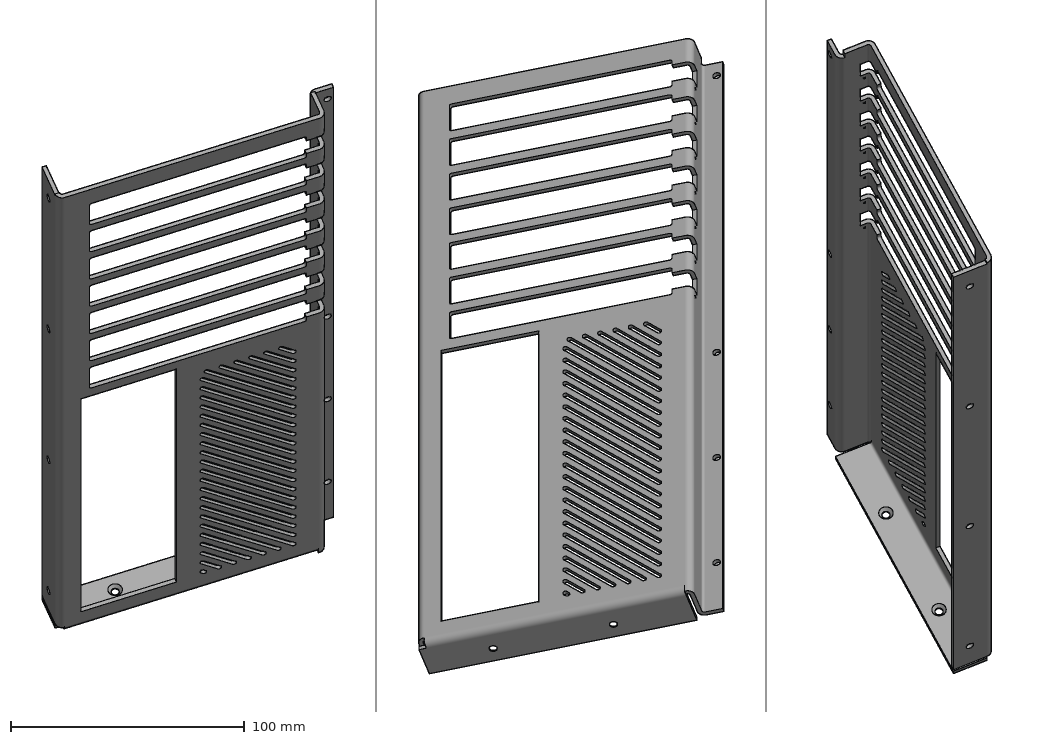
import cadquery as cq
import math

width_x = 19.05
depth_y = 132.08
height_z = 323.85

sheet = 2.0
bend_inner = 1.2
bend_outer = bend_inner + sheet

front_flange_top_gap = 1.0
wall_outer_y = 123.1
wall_inner_y = wall_outer_y - sheet
lip_x = 2.0
lip_top_gap = 3.1
bottom_flange_end_y = 119.4
sheet_inner_x = width_x - sheet

slot_count = 7
slot_pitch = 20.32
first_slot_z = 305.35
slot_height = 15.6
slot_near_y = 14.6
slot_far_y = 113.9
slot_corner_radius = 1.0
mouth_height = 9.5
mouth_depth_x = 6.5
pin_hole_diameter = 1.0
pin_hole_x = 14.6
pin_hole_drop = 7.7

window_near_y = 10.7
window_far_y = 54.4
window_bottom_z = 11.1
window_top_z = 169.8

vent_near_y = 65.2
vent_far_y = 109.2
vent_bottom_z = 11.0
vent_top_z = 162.4
vent_width = 2.0
vent_pitch = 6.83
vent_angle = 135
vents_below_corner = 6
vents_above_corner = 21

front_hole_diameter = 3.45
front_hole_x = 7.8
front_hole_first_z = 17.2
front_hole_pitch = 97.6
front_hole_count = 4
lip_hole_diameter = 3.3
lip_hole_y = 129.4
lip_hole_first_z = 27.7
lip_hole_pitch = 61.65
lip_hole_count = 3
lip_hole_top_z = 313.3
bottom_hole_diameter = 3.45
countersink_diameter = 6.2
countersink_angle = 90
bottom_hole_x = 7.5
bottom_hole_y_positions = (30.7, 84.4)

clearance = 1.0


def box(x_range, y_range, z_range):
    """Box spanning the given (low, high) pairs."""
    sizes = [high - low for low, high in (x_range, y_range, z_range)]
    corner = (x_range[0], y_range[0], z_range[0])
    return cq.Workplane("XY").box(*sizes, centered=False).translate(corner)


def round_edge(body, point, radius):
    """Fillet the edge whose midpoint is closest to the given point."""
    return body.edges(cq.selectors.NearestToPointSelector(point)).fillet(radius)


def make_upright_profile():
    """Full-height strip: front flange, main sheet, rear wall and outward lip."""
    body = (
        cq.Workplane("XY")
        .polyline([
            (0, 0),
            (width_x, 0),
            (width_x, wall_outer_y),
            (lip_x + sheet, wall_outer_y),
            (lip_x + sheet, depth_y),
            (lip_x, depth_y),
            (lip_x, wall_inner_y),
            (sheet_inner_x, wall_inner_y),
            (sheet_inner_x, sheet),
            (0, sheet),
        ])
        .close()
        .extrude(height_z)
    )
    bends = [
        (width_x, 0, bend_outer),
        (sheet_inner_x, sheet, bend_inner),
        (width_x, wall_outer_y, bend_outer),
        (sheet_inner_x, wall_inner_y, bend_inner),
        (lip_x, wall_inner_y, bend_outer),
        (lip_x + sheet, wall_outer_y, bend_inner),
    ]
    for x, y, radius in bends:
        body = round_edge(body, (x, y, height_z / 2), radius)
    return body


def trim_upright_ends(body):
    """Lower the flange and lip tops and clear the foot for the bottom flange."""
    flange_top = box(
        (-clearance, width_x - bend_outer),
        (-clearance, bend_outer),
        (height_z - front_flange_top_gap, height_z + clearance),
    )
    lip_top = box(
        (0, lip_x + bend_outer),
        (wall_inner_y - clearance, depth_y + clearance),
        (height_z - lip_top_gap, height_z + clearance),
    )
    foot = box(
        (-clearance, width_x + clearance),
        (-clearance, bottom_flange_end_y),
        (-clearance, bend_outer),
    )
    return body.cut(flange_top).cut(lip_top).cut(foot)


def make_bottom_flange():
    """Bottom flange and its bend, relieved where it meets the front bend."""
    bend_start_x = width_x - bend_outer
    body = (
        cq.Workplane("XZ")
        .lineTo(bend_start_x, 0)
        .radiusArc((width_x, bend_outer), -bend_outer)
        .lineTo(sheet_inner_x, bend_outer)
        .radiusArc((bend_start_x, sheet), bend_inner)
        .lineTo(0, sheet)
        .close()
        .extrude(-bottom_flange_end_y)
    )
    corner_relief = box(
        (bend_start_x, width_x + clearance),
        (-clearance, bend_outer),
        (-clearance, bend_outer + clearance),
    )
    return body.cut(corner_relief)


def slot_cutter(slot_z):
    """One expansion slot with its mouth and the pin hole beneath it."""
    half_height = slot_height / 2
    main = box(
        (sheet_inner_x - clearance, width_x + clearance),
        (slot_near_y, slot_far_y),
        (slot_z - half_height, slot_z + half_height),
    ).edges("|X").fillet(slot_corner_radius)
    half_mouth = mouth_height / 2
    mouth = box(
        (width_x - mouth_depth_x, width_x + clearance),
        (slot_far_y - slot_corner_radius, wall_outer_y + clearance),
        (slot_z - half_mouth, slot_z + half_mouth),
    )
    pin_hole = (
        cq.Workplane("XZ", origin=(pin_hole_x, wall_inner_y, slot_z - pin_hole_drop))
        .circle(pin_hole_diameter / 2)
        .extrude(-sheet)
    )
    return main.union(mouth).union(pin_hole)


def vent_cutter(index):
    """Vent on the diagonal that lies index pitches above the field's lower far corner."""
    radius = vent_width / 2
    near_y = vent_near_y + radius
    far_y = vent_far_y - radius
    bottom_z = vent_bottom_z + radius
    top_z = vent_top_z - radius
    z_at_far_y = bottom_z + index * vent_pitch
    start_rise = max(0, bottom_z - z_at_far_y)
    end_rise = min(far_y - near_y, top_z - z_at_far_y)
    middle_rise = (start_rise + end_rise) / 2
    length = (end_rise - start_rise) * math.sqrt(2) + vent_width
    return (
        cq.Workplane("YZ", origin=(sheet_inner_x, 0, 0))
        .center(far_y - middle_rise, z_at_far_y + middle_rise)
        .slot2D(length, vent_width, angle=vent_angle)
        .extrude(sheet)
    )


def cut_main_sheet(body):
    """Expansion slots, window and vents."""
    for number in range(slot_count):
        body = body.cut(slot_cutter(first_slot_z - number * slot_pitch))
    window = box(
        (sheet_inner_x - clearance, width_x + clearance),
        (window_near_y, window_far_y),
        (window_bottom_z, window_top_z),
    )
    body = body.cut(window)
    indices = range(-vents_below_corner, vents_above_corner + 1)
    vents = [vent_cutter(index).val() for index in indices]
    return body.cut(cq.Compound.makeCompound(vents))


def drill_holes(body):
    """Plain holes in the front flange and lip, countersunk holes in the bottom flange."""
    for number in range(front_hole_count):
        hole_z = front_hole_first_z + number * front_hole_pitch
        hole = (
            cq.Workplane("XZ", origin=(front_hole_x, 0, hole_z))
            .circle(front_hole_diameter / 2)
            .extrude(-sheet)
        )
        body = body.cut(hole)
    lip_hole_heights = [lip_hole_first_z + number * lip_hole_pitch for number in range(lip_hole_count)]
    for hole_z in lip_hole_heights + [lip_hole_top_z]:
        hole = (
            cq.Workplane("YZ", origin=(lip_x, lip_hole_y, hole_z))
            .circle(lip_hole_diameter / 2)
            .extrude(sheet)
        )
        body = body.cut(hole)
    bottom_holes = [(bottom_hole_x, hole_y) for hole_y in bottom_hole_y_positions]
    return (
        body.copyWorkplane(cq.Workplane("XY", origin=(0, 0, sheet)))
        .pushPoints(bottom_holes)
        .cskHole(bottom_hole_diameter, countersink_diameter, countersink_angle, depth=sheet)
    )


upright = trim_upright_ends(make_upright_profile())
folded_sheet = upright.union(make_bottom_flange())
result = drill_holes(cut_main_sheet(folded_sheet)).solids()